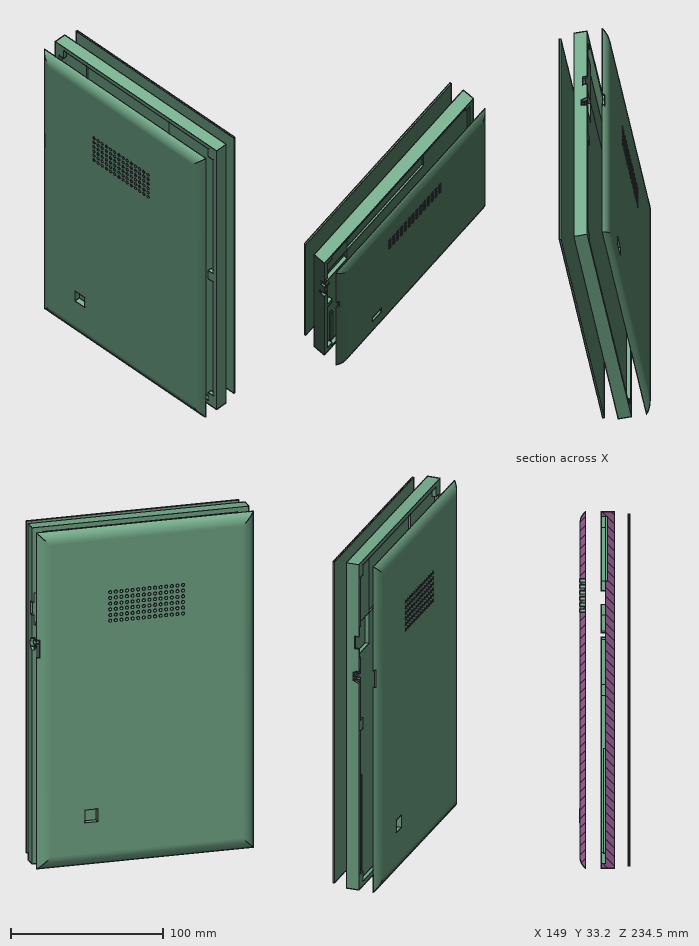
import cadquery as cq
import math

WIDTH = 149.0
HEIGHT = 234.5
COVER_THICKNESS = 4.0
FRAME_THICKNESS = 9.0
PLATE_THICKNESS = 1.2
COVER_TO_FRAME_GAP = 10.0
FRAME_TO_PLATE_GAP = 9.0
LEFT = -WIDTH / 2
TOP = HEIGHT / 2

COVER_FRONT = 0.0
COVER_BACK = COVER_FRONT + COVER_THICKNESS
FRAME_FRONT = COVER_BACK + COVER_TO_FRAME_GAP
FRAME_BACK = FRAME_FRONT + FRAME_THICKNESS
PLATE_FRONT = FRAME_BACK + FRAME_TO_PLATE_GAP

RIM_WIDTH = 8.2
RIM_RADIUS = 10.5
HOLE_DIAMETER = 2.0
HOLE_COLUMNS = 14
HOLE_ROWS = 6
GRILLE_WIDTH = 50.0
HOLE_COLUMN_PITCH = GRILLE_WIDTH / (HOLE_COLUMNS - 1)
HOLE_ROW_PITCH = 4.0
GRILLE_CENTER_DOWN = 55.0
WINDOW_SIZE = 9.0
WINDOW_CENTER_IN = 36.5
WINDOW_CENTER_DOWN = 199.8
RIM_NOTCH_LENGTH = 12.2
RIM_NOTCH_CENTER_DOWN = 81.0
RIM_NOTCH_DEPTH = 1.5
RIM_NOTCH_WIDTH = 1.9

WALL = 3.3
TRAY_DEPTH = 2.8
BOSS_REACH = 4.5
CORNER_BOSS_HEIGHT = 7.0
MIDDLE_BOSS_HEIGHT = 7.5
UPPER_RECESS_START = 26.0
UPPER_RECESS_END = 102.2
RECESS_EXTRA_DEPTH = 1.5
POCKET_TOP = 45.7
POCKET_BOTTOM = 68.0
POCKET_DEPTH = 5.6
POCKET_SKIN = 1.5
PORT_TOP = 52.0
PORT_BOTTOM = 61.0
PORT_DEPTH = 3.0
JACK_CENTER_DOWN = 81.1
JACK_DISH_RADIUS = 4.2
JACK_DISH_DEPTH = 2.0
JACK_SLOT_HEIGHT = 5.6
JACK_SLOT_END = 2.8
JACK_GROOVE_HEIGHT = 2.8
JACK_GROOVE_END = 8.5
JACK_SLOT_DEPTH = 4.0
RIB_IN = 8.5
RIB_THICKNESS = 1.9
RIB_TOP = 155.7
RIB_LENGTH = 69.2
RIB_RISE = 1.2

PLATE_INSET = 1.6


def block(x_in, x_out, y_front, y_back, down_top, down_bottom):
    """Box given by distances in from the left side, Y limits and distances down from the top."""
    return cq.Workplane("XY").box(
        x_out - x_in, y_back - y_front, down_bottom - down_top, centered=False
    ).translate((LEFT + x_in, y_front, TOP - down_bottom))


def pillow_profile(plane, length):
    """Section with a flat front; each rim is an outward arc that tapers to a sharp back edge."""
    half = length / 2
    flat = half - RIM_WIDTH
    chord = math.hypot(RIM_WIDTH, COVER_THICKNESS)
    bulge = RIM_RADIUS - math.sqrt(RIM_RADIUS**2 - (chord / 2) ** 2)
    mid_side = half - RIM_WIDTH / 2 + bulge * COVER_THICKNESS / chord
    mid_y = COVER_FRONT + COVER_THICKNESS / 2 - bulge * RIM_WIDTH / chord

    def point(side, y):
        return (side, y) if plane == "XY" else (y, side)

    return (
        cq.Workplane(plane)
        .moveTo(*point(-half, COVER_BACK))
        .threePointArc(point(-mid_side, mid_y), point(-flat, COVER_FRONT))
        .lineTo(*point(flat, COVER_FRONT))
        .threePointArc(point(mid_side, mid_y), point(half, COVER_BACK))
        .close()
    )


def make_cover():
    across = pillow_profile("XY", WIDTH).extrude(TOP, both=True)
    upright = pillow_profile("YZ", HEIGHT).extrude(-LEFT, both=True)
    cover = across.intersect(upright)

    grille = (
        cq.Workplane("XZ", origin=(0, COVER_FRONT, TOP - GRILLE_CENTER_DOWN))
        .rarray(HOLE_COLUMN_PITCH, HOLE_ROW_PITCH, HOLE_COLUMNS, HOLE_ROWS)
        .circle(HOLE_DIAMETER / 2)
        .extrude(-COVER_THICKNESS)
    )
    window = block(
        WINDOW_CENTER_IN - WINDOW_SIZE / 2, WINDOW_CENTER_IN + WINDOW_SIZE / 2,
        COVER_FRONT, COVER_BACK,
        WINDOW_CENTER_DOWN - WINDOW_SIZE / 2, WINDOW_CENTER_DOWN + WINDOW_SIZE / 2,
    )
    rim_notch = block(
        0, RIM_NOTCH_WIDTH, COVER_BACK - RIM_NOTCH_DEPTH, COVER_BACK,
        RIM_NOTCH_CENTER_DOWN - RIM_NOTCH_LENGTH / 2, RIM_NOTCH_CENTER_DOWN + RIM_NOTCH_LENGTH / 2,
    )
    return cover.cut(grille).cut(window).cut(rim_notch)


def add_bosses(frame):
    """Bosses level with the front, in the four corners and halfway down both side walls."""
    spans = (
        (WALL, WALL + CORNER_BOSS_HEIGHT),
        ((HEIGHT - MIDDLE_BOSS_HEIGHT) / 2, (HEIGHT + MIDDLE_BOSS_HEIGHT) / 2),
        (HEIGHT - WALL - CORNER_BOSS_HEIGHT, HEIGHT - WALL),
    )
    for down_top, down_bottom in spans:
        for x_in in (WALL, WIDTH - WALL - BOSS_REACH):
            boss = block(
                x_in, x_in + BOSS_REACH, FRAME_FRONT, FRAME_FRONT + TRAY_DEPTH, down_top, down_bottom
            )
            frame = frame.union(boss)
    return frame


def cut_side_port(frame):
    """Pocket that thins the left wall to a skin, with a port through the skin."""
    pocket = block(
        POCKET_SKIN, UPPER_RECESS_START, FRAME_FRONT, FRAME_FRONT + POCKET_DEPTH, POCKET_TOP, POCKET_BOTTOM
    )
    port = block(0, POCKET_SKIN, FRAME_FRONT, FRAME_FRONT + PORT_DEPTH, PORT_TOP, PORT_BOTTOM)
    return frame.cut(pocket).cut(port)


def cut_jack(frame):
    """Half-round dish in the left side, a slot behind it and a narrower groove into the tray."""
    dish = (
        cq.Workplane("YZ", origin=(LEFT, FRAME_FRONT, TOP - JACK_CENTER_DOWN))
        .circle(JACK_DISH_RADIUS)
        .extrude(JACK_DISH_DEPTH)
    )
    frame = frame.cut(dish)
    for height, reach in ((JACK_SLOT_HEIGHT, JACK_SLOT_END), (JACK_GROOVE_HEIGHT, JACK_GROOVE_END)):
        slot = block(
            0, reach, FRAME_FRONT, FRAME_FRONT + JACK_SLOT_DEPTH,
            JACK_CENTER_DOWN - height / 2, JACK_CENTER_DOWN + height / 2,
        )
        frame = frame.cut(slot)
    return frame


def make_frame():
    tray_back = FRAME_FRONT + TRAY_DEPTH
    tray = block(WALL, WIDTH - WALL, FRAME_FRONT, tray_back, WALL, HEIGHT - WALL)
    upper_recess = block(
        UPPER_RECESS_START, UPPER_RECESS_END, tray_back, tray_back + RECESS_EXTRA_DEPTH, WALL, POCKET_TOP
    )
    rib = block(
        RIB_IN, RIB_IN + RIB_THICKNESS, tray_back - RIB_RISE, tray_back, RIB_TOP, RIB_TOP + RIB_LENGTH
    )
    frame = block(0, WIDTH, FRAME_FRONT, FRAME_BACK, 0, HEIGHT).cut(tray).cut(upper_recess)
    frame = add_bosses(frame).union(rib)
    return cut_jack(cut_side_port(frame))


def make_plate():
    return block(
        PLATE_INSET, WIDTH - PLATE_INSET, PLATE_FRONT, PLATE_FRONT + PLATE_THICKNESS,
        PLATE_INSET, HEIGHT - PLATE_INSET,
    )


cover = make_cover()
frame = make_frame()
back_plate = make_plate()

result = cq.Compound.makeCompound([cover.val(), frame.val(), back_plate.val()])